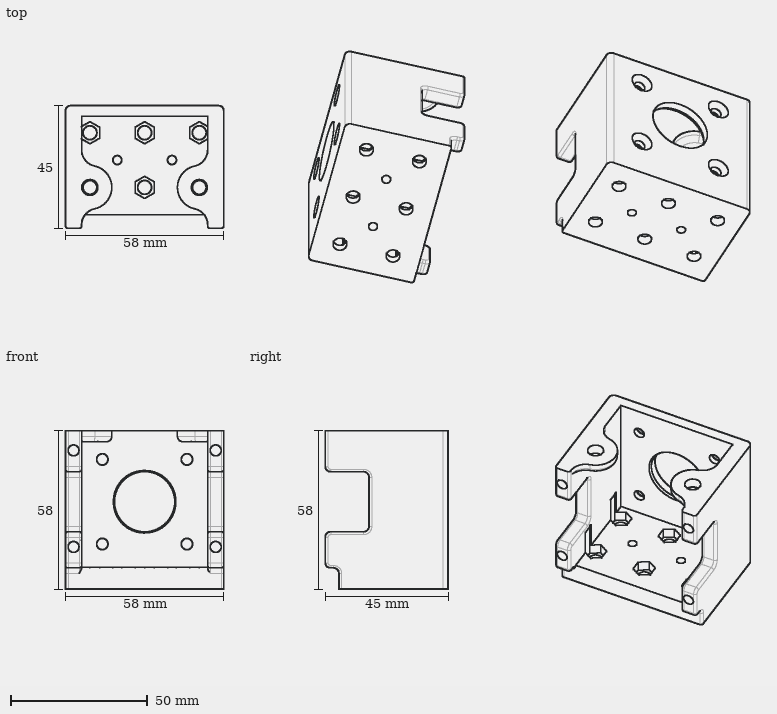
import cadquery as cq
import math

WIDTH = 58.0
DEPTH = 45.0
HEIGHT = 58.0

SIDE_WALL = 6.0
BACK_WALL = 4.0
FLOOR = 8.0
FLOOR_SETBACK = 5.0
BACK_CORNER_RADIUS = 2.0

FOOT_STEP_HEIGHT = 7.8
WINDOW_BOTTOM = 21.05
WINDOW_TOP = 43.0
WINDOW_DEPTH = 16.0
OUTLINE_RADIUS = 2.0
EDGE_ROUNDING = 1.0

EAR_THICKNESS = 4.0
EAR_RADIUS = 8.0
EAR_BLEND_RADIUS = 6.0
EAR_EDGE_ROUNDING = 2.0
EAR_HOLE_DIAMETER = 5.8

BOLT_PITCH = 20.0
BOLT_BACK_ROW = 10.0
BOLT_DIAMETER = 5.0
NUT_ACROSS_FLATS = 7.0
HEXAGON_TURN = 30
NUT_SEAT_HEIGHT = 4.0
NUT_POCKET_TOP = 18.0
PIN_DIAMETER = 3.2

MOTOR_AXIS_HEIGHT = 32.0
MOTOR_BORE_DIAMETER = 22.05
LEAD_IN_DIAMETER = 22.9
LEAD_IN_DEPTH = 1.0
MOTOR_SCREW_PITCH = 31.0
MOTOR_SCREW_DIAMETER = 4.05
COUNTERSINK_DEPTH = 2.0
COUNTERSINK_HALF_ANGLE = 45

ARM_SCREW_DIAMETER = 4.0
ARM_SCREW_DEPTH = 10.0
ARM_SCREW_HEIGHTS = (15.5, 50.8)

FRONT = -DEPTH
FLOOR_FRONT = FRONT + FLOOR_SETBACK
INNER_X = WIDTH / 2 - SIDE_WALL
BOLT_FRONT_ROW = BOLT_BACK_ROW + BOLT_PITCH
COUNTERSINK_DIAMETER = (
    MOTOR_SCREW_DIAMETER + 2 * COUNTERSINK_DEPTH * math.tan(math.radians(COUNTERSINK_HALF_ANGLE))
)
SIDES = (-1, 1)


def side_wall():
    """Right-hand wall: front outline with a window and a foot step, rounded on both faces."""
    window_back = FRONT + WINDOW_DEPTH
    wall = (
        cq.Workplane("YZ")
        .workplane(offset=INNER_X)
        .moveTo(0, 0)
        .lineTo(FLOOR_FRONT, 0)
        .lineTo(FLOOR_FRONT, FOOT_STEP_HEIGHT)
        .lineTo(FRONT, FOOT_STEP_HEIGHT)
        .lineTo(FRONT, WINDOW_BOTTOM)
        .lineTo(window_back, WINDOW_BOTTOM)
        .lineTo(window_back, WINDOW_TOP)
        .lineTo(FRONT, WINDOW_TOP)
        .lineTo(FRONT, HEIGHT)
        .lineTo(0, HEIGHT)
        .close()
        .extrude(SIDE_WALL)
    )
    wall = wall.edges("|X").edges("not (<Z or >Z)").fillet(OUTLINE_RADIUS)
    return wall.faces("<Y").edges("|Z").fillet(EDGE_ROUNDING)


def ear():
    """Right-hand ear: a disc blended into the inner wall face by two tangent arcs."""
    centre_x = BOLT_PITCH
    centre_y = -BOLT_FRONT_ROW
    blend_x = INNER_X - EAR_BLEND_RADIUS
    centre_distance = EAR_RADIUS + EAR_BLEND_RADIUS
    blend_dy = math.sqrt(centre_distance**2 - (centre_x - blend_x) ** 2)
    tangent_x = centre_x + (blend_x - centre_x) * EAR_RADIUS / centre_distance
    tangent_dy = blend_dy * EAR_RADIUS / centre_distance
    blend_angle = math.atan2(blend_dy, centre_x - blend_x) / 2
    blend_mid_x = blend_x + EAR_BLEND_RADIUS * math.cos(blend_angle)
    blend_mid_dy = blend_dy - EAR_BLEND_RADIUS * math.sin(blend_angle)

    outer_x = WIDTH / 2 - EDGE_ROUNDING
    front_y = FRONT + EDGE_ROUNDING
    plate = (
        cq.Workplane("XY")
        .workplane(offset=HEIGHT - EAR_THICKNESS)
        .moveTo(outer_x, -BACK_WALL)
        .lineTo(INNER_X, -BACK_WALL)
        .lineTo(INNER_X, centre_y + blend_dy)
        .threePointArc((blend_mid_x, centre_y + blend_mid_dy), (tangent_x, centre_y + tangent_dy))
        .threePointArc((centre_x - EAR_RADIUS, centre_y), (tangent_x, centre_y - tangent_dy))
        .threePointArc((blend_mid_x, centre_y - blend_mid_dy), (INNER_X, centre_y - blend_dy))
        .lineTo(INNER_X, front_y)
        .lineTo(outer_x, front_y)
        .close()
        .extrude(EAR_THICKNESS)
    )
    plate = plate.faces("<Z").edges("<X").fillet(EAR_EDGE_ROUNDING)
    hole = (
        cq.Workplane("XY")
        .workplane(offset=HEIGHT - EAR_THICKNESS)
        .center(centre_x, centre_y)
        .circle(EAR_HOLE_DIAMETER / 2)
        .extrude(EAR_THICKNESS)
    )
    return plate.cut(hole)


def floor_plate():
    """Floor reaching into both walls but stopping short of their rounded outer edges."""
    plane = cq.Workplane("XY", origin=(0, FLOOR_FRONT, 0))
    width = WIDTH - 2 * EDGE_ROUNDING
    return plane.box(width, -FLOOR_FRONT, FLOOR, centered=(True, False, False))


def back_wall():
    """Full-width plate at the back."""
    plane = cq.Workplane("XY", origin=(0, -BACK_WALL, 0))
    return plane.box(WIDTH, BACK_WALL, HEIGHT, centered=(True, False, False))


def nut_pockets_and_bolts():
    """Six bolt holes, each with a hexagonal pocket above that also clips the side walls."""
    places = [
        (column * BOLT_PITCH, -row)
        for column in (-1, 0, 1)
        for row in (BOLT_BACK_ROW, BOLT_FRONT_ROW)
    ]
    bolts = cq.Workplane("XY").pushPoints(places).circle(BOLT_DIAMETER / 2).extrude(FLOOR)
    across_corners = NUT_ACROSS_FLATS / math.cos(math.radians(HEXAGON_TURN))
    hexagon = (
        cq.Workplane("XY")
        .polygon(6, across_corners)
        .extrude(NUT_POCKET_TOP - NUT_SEAT_HEIGHT)
        .rotate((0, 0, 0), (0, 0, 1), HEXAGON_TURN)
    )
    for x, y in places:
        bolts = bolts.union(hexagon.translate((x, y, NUT_SEAT_HEIGHT)))
    return bolts


def pin_holes():
    """Two small through holes midway between the bolts."""
    pin_y = -(BOLT_BACK_ROW + BOLT_FRONT_ROW) / 2
    places = [(side * BOLT_PITCH / 2, pin_y) for side in SIDES]
    return cq.Workplane("XY").pushPoints(places).circle(PIN_DIAMETER / 2).extrude(FLOOR)


def motor_mount():
    """Central bore with a conical lead-in on the inside, and four screw holes countersunk at the back."""
    plane = cq.Workplane("XZ", origin=(0, 0, MOTOR_AXIS_HEIGHT))
    bore = plane.circle(MOTOR_BORE_DIAMETER / 2).extrude(BACK_WALL)
    lead_in = (
        plane.workplane(offset=BACK_WALL - LEAD_IN_DEPTH)
        .circle(MOTOR_BORE_DIAMETER / 2)
        .workplane(offset=LEAD_IN_DEPTH)
        .circle(LEAD_IN_DIAMETER / 2)
        .loft()
    )
    screws = (
        plane.rect(MOTOR_SCREW_PITCH, MOTOR_SCREW_PITCH, forConstruction=True)
        .vertices()
        .circle(MOTOR_SCREW_DIAMETER / 2)
        .extrude(BACK_WALL)
    )
    countersinks = (
        plane.rect(MOTOR_SCREW_PITCH, MOTOR_SCREW_PITCH, forConstruction=True)
        .vertices()
        .circle(COUNTERSINK_DIAMETER / 2)
        .extrude(COUNTERSINK_DEPTH, taper=COUNTERSINK_HALF_ANGLE)
    )
    return bore.union(lead_in).union(screws).union(countersinks)


def arm_screw_holes():
    """Blind holes in the middle of each arm's front end."""
    arm_x = (WIDTH - SIDE_WALL) / 2
    places = [(side * arm_x, z) for side in SIDES for z in ARM_SCREW_HEIGHTS]
    return (
        cq.Workplane("XZ", origin=(0, FRONT, 0))
        .pushPoints(places)
        .circle(ARM_SCREW_DIAMETER / 2)
        .extrude(-ARM_SCREW_DEPTH)
    )


wall_with_ear = side_wall().union(ear())
body = back_wall().union(floor_plate())
body = body.union(wall_with_ear).union(wall_with_ear.mirror("YZ"))
body = body.edges("|Z and >Y").fillet(BACK_CORNER_RADIUS)

result = (
    body.cut(nut_pockets_and_bolts())
    .cut(pin_holes())
    .cut(motor_mount())
    .cut(arm_screw_holes())
)